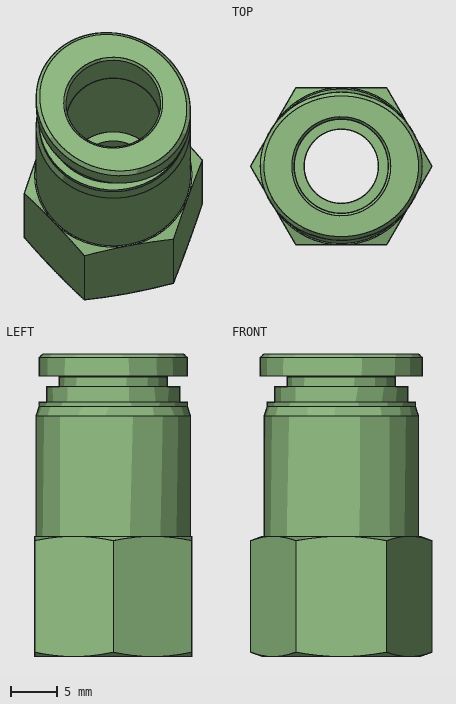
import cadquery as cq
import math

hex_across_flats = 17.0
hex_across_corners = hex_across_flats / math.cos(math.radians(30))
hex_height = 13.0
hex_chamfer_angle = 20.0
hex_chamfer_start_dia = hex_across_flats

barrel_dia = 16.7
barrel_top = 26.0
lip_dia = 16.05
lip_taper_top = 27.0
lip_top = 27.5
collar_dia = 14.4
collar_top = 29.15

button_top = 32.7
flange_length = 17.5
flange_width = 16.0
flange_bottom = 30.3
flange_chamfer = 0.4
sleeve_dia = 11.7
sleeve_bottom = 27.6
relief_dia = 11.45
relief_height = 0.1
button_bore_dia = 10.2
button_bore_chamfer = 0.25

tube_bore_dia = 10.15
tube_stop = hex_height
through_bore_dia = 8.0


def cylinder(diameter, bottom, top):
    """Cylinder on the Z axis between two heights."""
    return cq.Workplane("XY").workplane(offset=bottom).circle(diameter / 2).extrude(top - bottom)


def make_hex_base():
    """Hexagonal prism with its corners trimmed by a cone at both ends."""
    prism = cq.Workplane("XY").polygon(6, hex_across_corners).extrude(hex_height)
    start_radius = hex_chamfer_start_dia / 2
    corner_radius = hex_across_corners / 2
    drop = (corner_radius - start_radius) * math.tan(math.radians(hex_chamfer_angle))
    trim_profile = [
        (0, 0),
        (start_radius, 0),
        (corner_radius, drop),
        (corner_radius, hex_height - drop),
        (start_radius, hex_height),
        (0, hex_height),
    ]
    trim = cq.Workplane("XZ").polyline(trim_profile).close().revolve(360, (0, 0, 0), (0, 1, 0))
    return prism.intersect(trim)


def make_barrel():
    """Stepped round part above the hexagon, tapered below its lip and topped by a collar."""
    profile = [
        (0, hex_height),
        (barrel_dia / 2, hex_height),
        (barrel_dia / 2, barrel_top),
        (lip_dia / 2, lip_taper_top),
        (lip_dia / 2, lip_top),
        (collar_dia / 2, lip_top),
        (collar_dia / 2, collar_top),
        (0, collar_top),
    ]
    return cq.Workplane("XZ").polyline(profile).close().revolve(360, (0, 0, 0), (0, 1, 0))


def make_body():
    """Hexagonal fitting body with a stepped through bore that holds the button sleeve."""
    body = make_hex_base().union(make_barrel())
    body = body.cut(cylinder(through_bore_dia, 0, tube_stop))
    body = body.cut(cylinder(tube_bore_dia, tube_stop, sleeve_bottom))
    return body.cut(cylinder(sleeve_dia, sleeve_bottom, collar_top))


def make_button():
    """Release button: elliptical flange on a round sleeve, bored through for the tube."""
    flange = (
        cq.Workplane("XY")
        .workplane(offset=flange_bottom)
        .ellipse(flange_length / 2, flange_width / 2)
        .extrude(button_top - flange_bottom)
        .faces(">Z")
        .edges()
        .chamfer(flange_chamfer)
    )
    sleeve_top = flange_bottom - relief_height
    button = flange.union(cylinder(relief_dia, sleeve_top, flange_bottom))
    button = button.union(cylinder(sleeve_dia, sleeve_bottom, sleeve_top))
    button = button.cut(cylinder(button_bore_dia, sleeve_bottom, button_top))
    return button.faces(">Z").edges("%CIRCLE").chamfer(button_bore_chamfer)


body = make_body()
button = make_button()
result = cq.Compound.makeCompound([body.val(), button.val()])